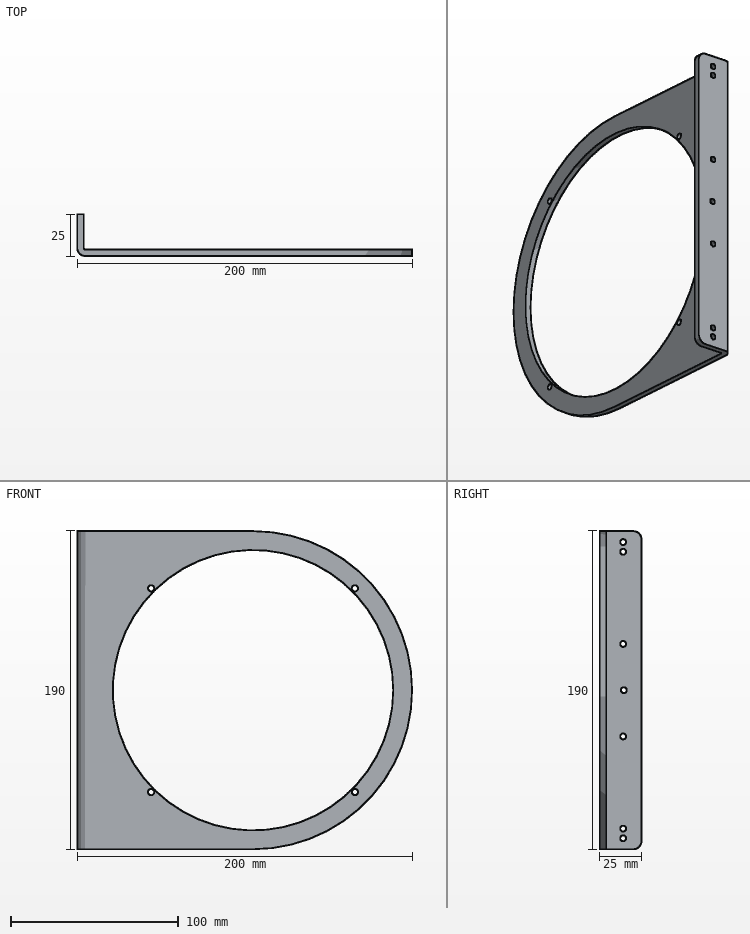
import cadquery as cq

length = 200.0
depth = 25.0
height = 190.0

thickness = 4.0
bend_inner_radius = 1.0
bend_outer_radius = bend_inner_radius + thickness
flange_corner_radius = 5.0

ring_radius = height / 2
ring_center_x = length - ring_radius
opening_radius = 83.5
ring_hole_diameter = 3.5
ring_hole_spacing = 121.5

flange_hole_diameter = 3.5
flange_hole_y = 14.0
center_hole_y = 14.5
flange_hole_heights = (27.5, 82.5, 88.5)

middle = height / 2


def front_plate():
    """Upright plate with a rounded end, its outer face on y = 0."""
    return (
        cq.Workplane("XZ")
        .lineTo(ring_center_x, 0)
        .threePointArc((length, middle), (ring_center_x, height))
        .lineTo(0, height)
        .close()
        .extrude(-thickness)
    )


def side_flange():
    """Narrow flange along x = 0, rounded at its two free corners."""
    return (
        cq.Workplane("XY")
        .box(thickness, depth, height, centered=False)
        .edges("|X and >Y")
        .fillet(flange_corner_radius)
    )


def bent_sheet():
    """Plate and flange joined by a rounded bend."""
    sheet = front_plate().union(side_flange())
    inner_corner = cq.selectors.NearestToPointSelector((thickness, thickness, middle))
    sheet = sheet.edges(inner_corner).fillet(bend_inner_radius)
    outer_corner = cq.selectors.NearestToPointSelector((0, 0, middle))
    return sheet.edges(outer_corner).fillet(bend_outer_radius)


def plate_cutouts():
    """Large opening and the four screw holes around it."""
    plane = cq.Workplane("XZ", origin=(ring_center_x, 0, middle))
    opening = plane.circle(opening_radius).extrude(-thickness)
    holes = (
        plane.rect(ring_hole_spacing, ring_hole_spacing, forConstruction=True)
        .vertices()
        .circle(ring_hole_diameter / 2)
        .extrude(-thickness)
    )
    return opening.union(holes)


def flange_holes():
    """Row of holes through the flange, mirrored about mid-height."""
    points = [(center_hole_y, middle)]
    for offset in flange_hole_heights:
        points.append((flange_hole_y, middle - offset))
        points.append((flange_hole_y, middle + offset))
    return (
        cq.Workplane("YZ")
        .pushPoints(points)
        .circle(flange_hole_diameter / 2)
        .extrude(thickness)
    )


result = bent_sheet().cut(plate_cutouts()).cut(flange_holes())